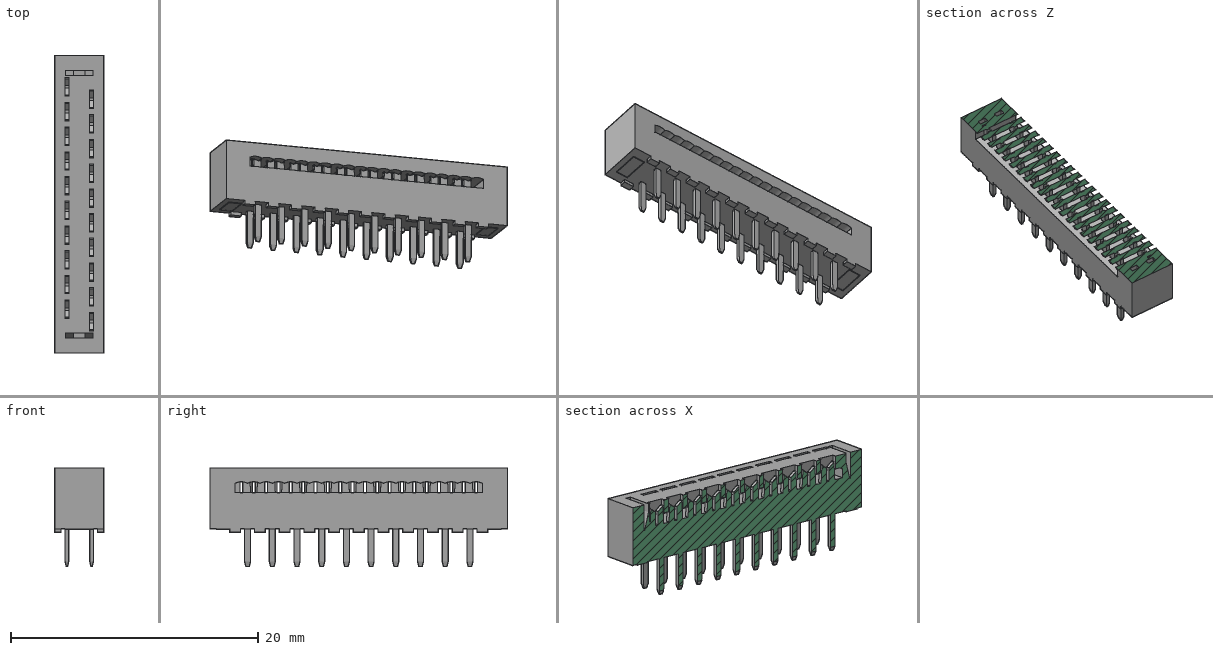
import cadquery as cq

HOUSING_LENGTH = 24.1
HOUSING_WIDTH = 4.0
HOUSING_HEIGHT = 4.95

CORE_COUNT = 20
WINDOW_LENGTH = 20.0
WINDOW_FLOOR_Z = 2.95
WINDOW_CROWN_Z = 3.8
ARCH_RISE = 0.12
WINDOW_CUSP_Z = WINDOW_CROWN_Z - ARCH_RISE

CORE_PITCH = WINDOW_LENGTH / CORE_COUNT
PIN_PITCH = 2 * CORE_PITCH
PINS_PER_ROW = CORE_COUNT // 2
ROW_X = CORE_PITCH
FORK_OFFSET = CORE_PITCH / 2

CONTACT_THICKNESS = 0.31
FORK_WIDTH = 1.5
FORK_TIP_WIDTH = 1.3
FORK_GAP = 0.22
FORK_TIP_RECESS = 0.45
FORK_TIP_Z = HOUSING_HEIGHT - FORK_TIP_RECESS
LEAD_IN_DEPTH = 0.4
SLOT_LENGTH = FORK_WIDTH

PIN_WIDTH = 0.5
PIN_TIP_WIDTH = 0.3
PIN_TIP_THICKNESS = 0.12
PIN_TIP_HEIGHT = 0.4
PIN_LENGTH = 3.05

LATCH_Y = 10.63
LATCH_LENGTH = 2.27
LATCH_WIDTH = 0.43
LATCH_DEPTH = 0.72
LATCH_MIDDLE = 0.95
RAMP_DEPTH = 1.61

PAD_Y = 11.0
PAD_LENGTH = 1.08
PAD_WIDTH = 2.27
PAD_HEIGHT = 0.07
FOOT_LENGTH = 0.9
FOOT_WIDTH = 0.53
FOOT_HEIGHT = 0.3


def box(x_size, y_size, z_bottom, z_top, x=0.0, y=0.0):
    """Box centred at (x, y) and spanning z_bottom to z_top."""
    height = z_top - z_bottom
    return cq.Workplane("XY").box(x_size, y_size, height).translate((x, y, z_bottom + height / 2))


def centred_row(count, pitch):
    """Positions of count items at an even pitch, centred on zero."""
    return [(i - (count - 1) / 2) * pitch for i in range(count)]


def cable_window():
    """Cutter for the cable window: flat floor, arched roof."""
    half = WINDOW_LENGTH / 2
    outline = cq.Workplane("YZ").moveTo(-half, WINDOW_CUSP_Z)
    for y in centred_row(CORE_COUNT, CORE_PITCH):
        outline = outline.threePointArc((y, WINDOW_CROWN_Z), (y + CORE_PITCH / 2, WINDOW_CUSP_Z))
    outline = outline.lineTo(half, WINDOW_FLOOR_Z).lineTo(-half, WINDOW_FLOOR_Z).close()
    return outline.extrude(HOUSING_WIDTH / 2, both=True)


def latch_slot(side):
    """Cutter for the latch slot at the +Y (side = 1) or -Y (side = -1) end."""
    floor_z = HOUSING_HEIGHT - LATCH_DEPTH
    inner = side * (LATCH_Y - LATCH_WIDTH / 2)
    outer = side * (LATCH_Y + LATCH_WIDTH / 2)
    slot = box(LATCH_LENGTH, LATCH_WIDTH, floor_z, HOUSING_HEIGHT, y=side * LATCH_Y)
    ramps = (
        cq.Workplane("YZ")
        .polyline([(inner, floor_z), (outer, floor_z), (outer, floor_z - RAMP_DEPTH)])
        .close()
        .extrude(LATCH_LENGTH / 2, both=True)
    )
    middle = box(LATCH_MIDDLE, LATCH_WIDTH, floor_z - RAMP_DEPTH, floor_z, y=side * LATCH_Y)
    return slot.union(ramps.cut(middle))


def fork(x, y):
    """Two-pronged contact standing on the window floor, with a V lead-in at its tip."""
    half_gap = FORK_GAP / 2
    half_tip = FORK_TIP_WIDTH / 2
    half_base = FORK_WIDTH / 2
    notch_z = FORK_TIP_Z - LEAD_IN_DEPTH
    prongs = cq.Workplane("YZ")
    for side in (-1, 1):
        prongs = prongs.polyline([
            (y + side * half_gap, WINDOW_FLOOR_Z),
            (y + side * half_base, WINDOW_FLOOR_Z),
            (y + side * half_tip, FORK_TIP_Z),
            (y + side * half_gap, notch_z),
        ]).close()
    return prongs.extrude(CONTACT_THICKNESS / 2, both=True).translate((x, 0, 0))


def pin(x, y):
    """Straight pin under the housing with a tapered tip."""
    tip_top = PIN_TIP_HEIGHT - PIN_LENGTH
    shank = box(CONTACT_THICKNESS, PIN_WIDTH, tip_top, 0, x, y)
    tip = (
        cq.Workplane("XY", origin=(x, y, tip_top))
        .rect(CONTACT_THICKNESS, PIN_WIDTH)
        .workplane(offset=-PIN_TIP_HEIGHT)
        .rect(PIN_TIP_THICKNESS, PIN_TIP_WIDTH)
        .loft()
    )
    return shank.union(tip)


housing = box(HOUSING_WIDTH, HOUSING_LENGTH, 0, HOUSING_HEIGHT)
for y in (-PAD_Y, PAD_Y):
    housing = housing.union(box(PAD_WIDTH, PAD_LENGTH, -PAD_HEIGHT, 0, y=y))

foot_x = (HOUSING_WIDTH - FOOT_WIDTH) / 2
for y in centred_row(PINS_PER_ROW + 1, PIN_PITCH):
    for x in (-foot_x, foot_x):
        housing = housing.union(box(FOOT_WIDTH, FOOT_LENGTH, -FOOT_HEIGHT, 0, x, y))

housing = housing.cut(cable_window())
for side in (-1, 1):
    housing = housing.cut(latch_slot(side))

contacts = []
for side in (-1, 1):
    row_x = side * ROW_X
    for pin_y in centred_row(PINS_PER_ROW, PIN_PITCH):
        fork_y = pin_y - side * FORK_OFFSET
        housing = housing.cut(
            box(CONTACT_THICKNESS, SLOT_LENGTH, WINDOW_FLOOR_Z, HOUSING_HEIGHT, row_x, fork_y)
        )
        contacts += [pin(row_x, pin_y), fork(row_x, fork_y)]

result = housing
for contact in contacts:
    result = result.union(contact)